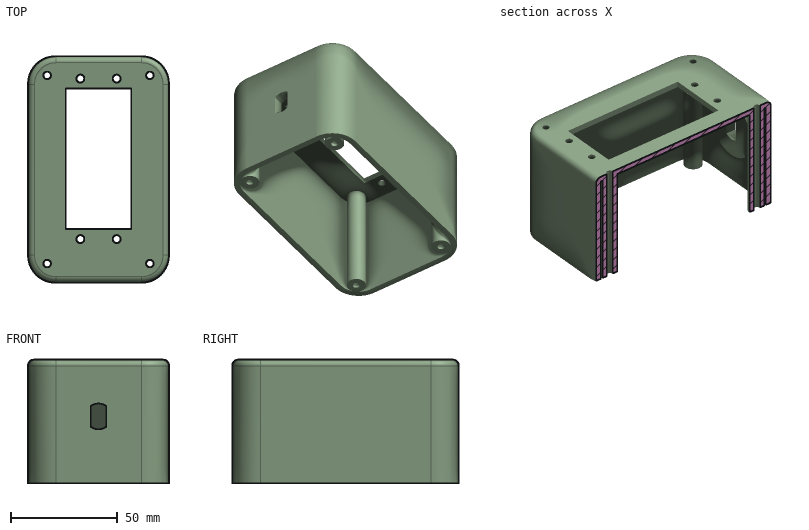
import cadquery as cq

width = 66.0
length = 106.0
height = 58.0
corner_radius = 13.0
rim_radius = 3.0

wall = 3.0
top_thickness = 3.0
inner_corner_radius = corner_radius - wall
cavity_width = width - 2 * wall
cavity_length = length - 2 * wall
cavity_height = height - top_thickness

screw_inset = 9.0
screw_diameter = 3.4
post_diameter = 9.0
screw_x = width / 2 - screw_inset
screw_y = length / 2 - screw_inset

window_y = 5.0
window_width = 30.5
window_length = 65.6
mount_spacing_x = 17.0
mount_spacing_y = 75.0
mount_diameter = 3.6

cable_z = 31.4
cable_width = 7.2
cable_diameter = 12.1

pad_diameter = 30.0
thickness_at_pad = 5.3


def outer_body():
    body = cq.Workplane("XY").box(width, length, height, centered=(True, True, False))
    return body.edges("|Z").fillet(corner_radius).faces(">Z").edges().fillet(rim_radius)


def cavity():
    """Rounded hollow with a round screw post left standing in each corner."""
    space = cq.Workplane("XY").box(cavity_width, cavity_length, cavity_height, centered=(True, True, False))
    space = space.edges("|Z").fillet(inner_corner_radius)
    return space.cut(corner_columns(post_diameter, 2 * screw_x, 2 * screw_y, 0))


def corner_columns(diameter, spacing_x, spacing_y, centre_y):
    """Full-height cylinders at the corners of a rectangle."""
    corners = cq.Workplane("XY").center(0, centre_y).rect(spacing_x, spacing_y, forConstruction=True)
    return corners.vertices().circle(diameter / 2).extrude(height)


def window():
    return cq.Workplane("XY").center(0, window_y).rect(window_width, window_length).extrude(height)


def cable_pad():
    pad_start = cq.Workplane("XZ", origin=(0, thickness_at_pad - length / 2, cable_z))
    return pad_start.circle(pad_diameter / 2).extrude(thickness_at_pad - wall)


def cable_opening():
    hole = cq.Workplane("XZ").center(0, cable_z).circle(cable_diameter / 2).extrude(length)
    flats = cq.Workplane("XZ").center(0, cable_z).rect(cable_width, cable_diameter).extrude(length)
    return hole.intersect(flats)


result = (
    outer_body()
    .cut(cavity())
    .union(cable_pad())
    .cut(window())
    .cut(corner_columns(screw_diameter, 2 * screw_x, 2 * screw_y, 0))
    .cut(corner_columns(mount_diameter, mount_spacing_x, mount_spacing_y, window_y))
    .cut(cable_opening())
)